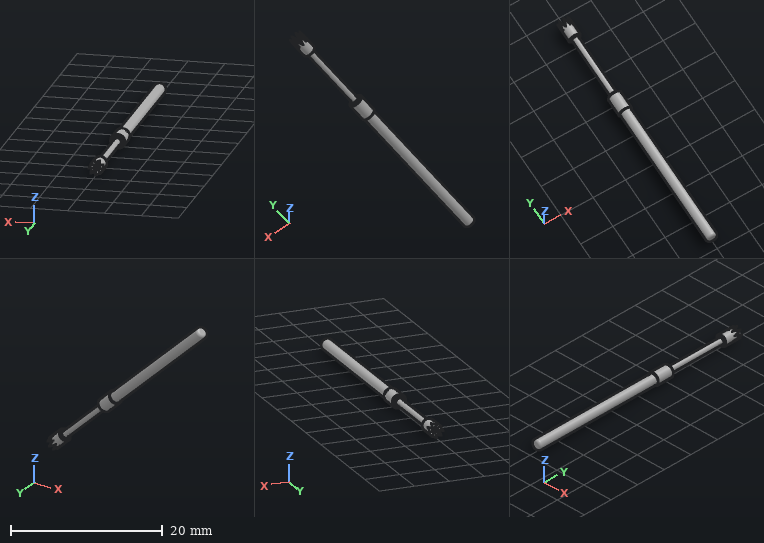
import cadquery as cq
import math

total_length = 37.8
tail_y = -total_length / 2
tip_y = total_length / 2

tube_diameter = 1.7
tail_rounding = 0.4

collar_diameter = 2.0
collar_length = 2.95
collar_chamfer = 0.208

plunger_diameter = 1.02
plunger_length = 9.75

head_diameter = 1.8
head_length = 3.02
head_chamfer = 0.08

tooth_count = 8
tooth_height = 1.25

head_base_y = tip_y - head_length
collar_front_y = head_base_y - plunger_length
collar_back_y = collar_front_y - collar_length


def cylinder(diameter, start_y, end_y):
    """Round bar centred on the Y axis between two stations."""
    base = cq.Workplane("XZ", origin=(0, start_y, 0))
    return base.circle(diameter / 2).extrude(start_y - end_y)


def make_tube():
    tube = cylinder(tube_diameter, tail_y, collar_back_y)
    return tube.faces("<Y").edges().fillet(tail_rounding)


def make_collar():
    collar = cylinder(collar_diameter, collar_back_y, collar_front_y)
    return collar.faces(">Y").edges().chamfer(collar_chamfer)


def make_plunger():
    return cylinder(plunger_diameter, collar_front_y, head_base_y)


def make_tooth_groove():
    """V-groove running along Z across the full width of the crown."""
    half_width = head_diameter / 2 * math.sin(math.pi / tooth_count)
    return (
        cq.Workplane("XY")
        .moveTo(0, tip_y - tooth_height)
        .lineTo(half_width, tip_y)
        .lineTo(-half_width, tip_y)
        .close()
        .extrude(head_diameter, both=True)
    )


def make_head():
    head = cylinder(head_diameter, head_base_y, tip_y)
    head = head.faces("<Y").edges().chamfer(head_chamfer)
    groove = make_tooth_groove()
    tooth_pitch = 360 / tooth_count
    for index in range(tooth_count // 2):
        angle = (index + 0.5) * tooth_pitch
        head = head.cut(groove.rotate((0, 0, 0), (0, 1, 0), angle))
    return head


result = make_tube().union(make_collar()).union(make_plunger()).union(make_head())